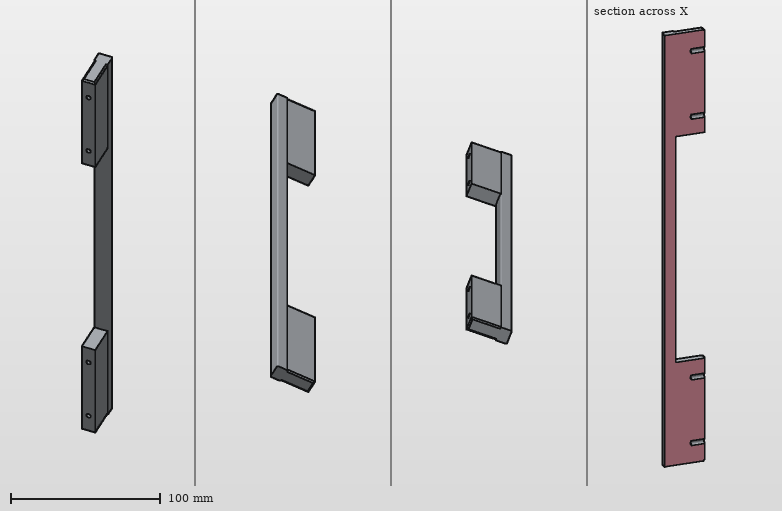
import cadquery as cq
import math

width = 10.0
depth = 28.8
length = 316.0

bar_depth = 8.2
bar_edge_radius = 1.0
bar_front_bulge = 0.3
foot_length = 75.5
foot_side_inset = 0.15
foot_end_chamfer = 1.1

hole_diameter = 3.2
hole_depth = 9.5
hole_end_offset = 14.5
hole_spacing = 48.0
drill_tip_angle = 118.0

front_y = -depth / 2
back_y = depth / 2
bar_front_y = back_y - bar_depth
half_length = length / 2


def make_bar():
    """Full-length bar with a gently bowed front face and rounded long edges."""
    half_width = width / 2
    side_front_y = bar_front_y + bar_front_bulge
    bar = (
        cq.Workplane("XY", origin=(0, 0, -half_length))
        .moveTo(half_width, side_front_y)
        .lineTo(half_width, back_y)
        .lineTo(-half_width, back_y)
        .lineTo(-half_width, side_front_y)
        .threePointArc((0, bar_front_y), (half_width, side_front_y))
        .close()
        .extrude(length)
    )
    return bar.edges("|Z").fillet(bar_edge_radius)


def make_foot(end):
    """Mounting foot at the upper (end = 1) or lower (end = -1) end."""
    foot_depth = depth - bar_depth / 2
    foot = cq.Workplane("XY").box(width - 2 * foot_side_inset, foot_depth, foot_length)
    end_face = foot.faces(">Z" if end > 0 else "<Z")
    foot = end_face.edges("|Y or <Y").chamfer(foot_end_chamfer)
    return foot.translate((0, front_y + foot_depth / 2, end * (half_length - foot_length / 2)))


def make_holes():
    """Two blind screw holes per foot, on the centre line of the front face."""
    outer_z = half_length - hole_end_offset
    inner_z = outer_z - hole_spacing
    heights = [end * z for end in (1, -1) for z in (outer_z, inner_z)]
    radius = hole_diameter / 2
    tip_depth = radius / math.tan(math.radians(drill_tip_angle / 2))
    profile = [(0, 0), (radius, 0), (radius, hole_depth), (0, hole_depth + tip_depth)]
    drill = cq.Workplane("XY").polyline(profile).close().revolve(360, (0, 0, 0), (0, 1, 0))
    holes = cq.Workplane("XY")
    for z in heights:
        holes = holes.add(drill.translate((0, front_y, z)))
    return holes.combine()


result = make_bar().union(make_foot(1)).union(make_foot(-1)).cut(make_holes())